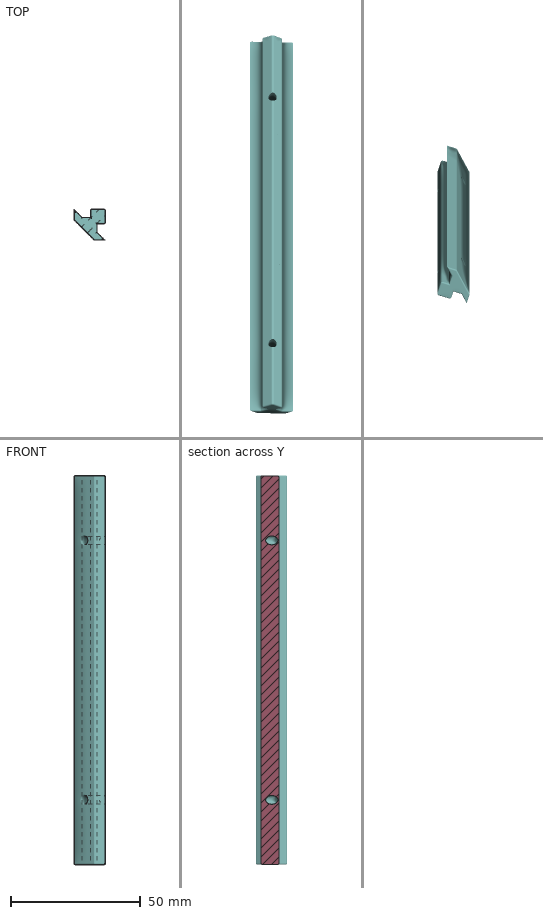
import cadquery as cq
import math

SIZE = 12.0
LENGTH = 150.0

SLOPE_START = 7.8
WING_TIP = 11.8
NOTCH_FLOOR = 8.8
NOTCH_START = WING_TIP - NOTCH_FLOOR
BLOCK_START = 6.3

BLOCK_RADIUS = 0.7
SLOPE_RADIUS = 0.5
END_RADIUS = 0.5

HOLE_DIAMETER = 3.2
MOUTH_RADIUS = 0.5
HOLE_HEIGHTS = (25.0, 125.0)


def round_long_edges(rail, corners, radius):
    """Round the edges that run along Z through the given section corners."""
    for x, y in corners:
        long_edge = cq.selectors.NearestToPointSelector((x, y, LENGTH / 2))
        rail = rail.edges("|Z").edges(long_edge).fillet(radius)
    return rail


def make_rail():
    """Extrude the symmetric section, then round its long edges and both ends."""
    upper_half = [
        (0, SLOPE_START),
        (0, WING_TIP),
        (NOTCH_START, NOTCH_FLOOR),
        (BLOCK_START, NOTCH_FLOOR),
        (BLOCK_START, SIZE),
    ]
    lower_half = [(y, x) for x, y in reversed(upper_half)]
    outline = upper_half + [(SIZE, SIZE)] + lower_half
    rail = cq.Workplane("XY").polyline(outline).close().extrude(LENGTH)

    slope_corners = [(0, SLOPE_START), (SLOPE_START, 0)]
    block_corners = [(BLOCK_START, SIZE), (SIZE, BLOCK_START), (SIZE, SIZE)]
    rail = round_long_edges(rail, slope_corners, SLOPE_RADIUS)
    rail = round_long_edges(rail, block_corners, BLOCK_RADIUS)
    return rail.faces("<Z or >Z").edges().fillet(END_RADIUS)


def make_hole(height):
    """Cutter for a through hole, square to the sloped face, with a rounded mouth."""
    radius = HOLE_DIAMETER / 2
    depth = SIZE * math.sqrt(2)
    arc_middle = MOUTH_RADIUS * (1 - math.sqrt(0.5))
    mouth_plane = cq.Plane(
        origin=(SLOPE_START / 2, SLOPE_START / 2, height),
        xDir=(0, 0, 1),
        normal=(-1, 1, 0),
    )
    return (
        cq.Workplane(mouth_plane)
        .lineTo(radius + MOUTH_RADIUS, 0)
        .threePointArc((radius + arc_middle, arc_middle), (radius, MOUTH_RADIUS))
        .lineTo(radius, depth)
        .lineTo(0, depth)
        .close()
        .revolve(360, (0, 0), (0, 1))
    )


result = make_rail()
for hole_height in HOLE_HEIGHTS:
    result = result.cut(make_hole(hole_height))